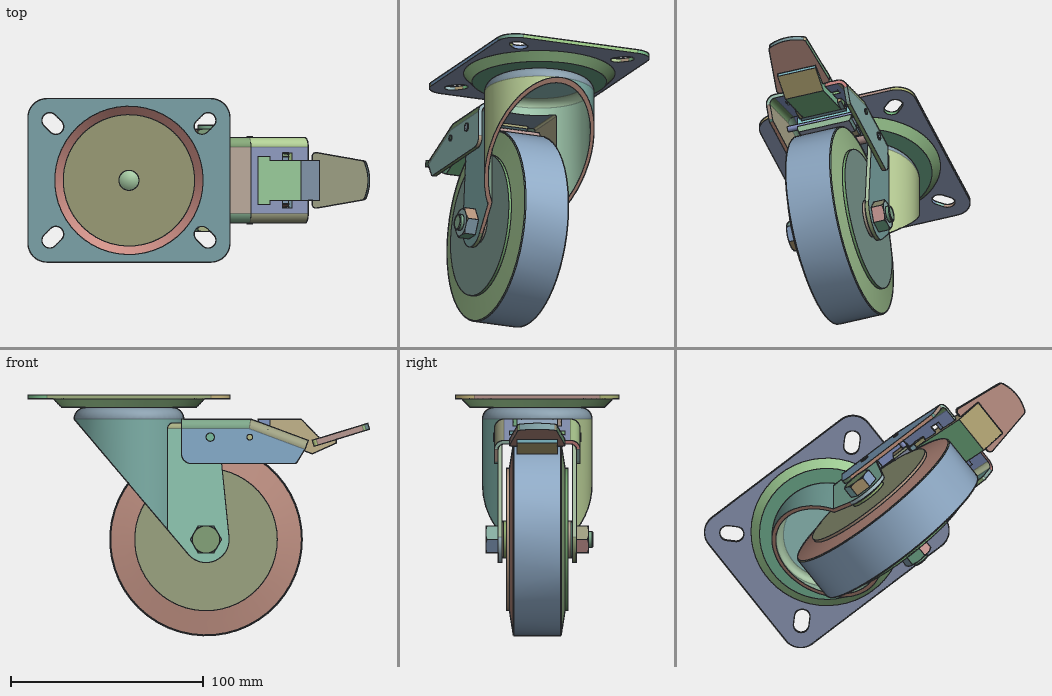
import cadquery as cq
import math


sheet = 2.0
total_height = 125.0

plate_length = 105.0
plate_width = 85.0
plate_corner_radius = 10.0
slot_centre_x = 39.5
slot_centre_y = 29.5
slot_width = 8.0
slot_length = 12.5
slot_angle = 45.0
dish_depth = 4.5
dish_rim_radius = 38.5
dish_floor_radius = 34.1
dome_radius = 5.2
dome_height = 2.0

wheel_radius = 50.0
axle_x = 40.0
axle_z = wheel_radius
hub_radius = 37.0
hub_half_width = 16.0
tyre_side_half_width = 14.5
tyre_edge_half_width = 12.5
tyre_edge_chamfer = 0.5

cup_radius = 28.5
cup_fillet = 6.0
cheek_half_width = 20.25
cheek_boss_radius = 12.0
cheek_top_x = 46.0
fork_bend_radius = 3.0

hex_across_flats = 14.0
hex_height = 6.4
hex_chamfer_radius = 7.1
hex_chamfer_degrees = 30.0
bolt_radius = 4.2
bolt_tip_length = 2.2
bolt_tip_chamfer = 0.5
washer_radius = 9.7
washer_chamfer = 0.8

cover_front_x = 27.3
cover_bend_x = 63.3
cover_slope_degrees = 20.4
cover_slope_length = 31.8
cover_bottom_z = 89.4
cover_bottom_rear_x = 86.8
cover_rear_corner_radius = 1.5
cover_slot_start_x = 79.7
cover_slot_end_x = 84.6
cover_slot_half_width = 14.3

pin_z = 103.1
pivot_pin_x = 42.2
pivot_pin_radius = 2.15
rear_pin_x = 62.7
rear_pin_radius = 1.5
pin_head_height = 0.5

lever_half_width = 10.4
lever_front_x = 67.1
lever_ear_end_x = 73.1
lever_ear_half_width = 12.5
lever_bottom_z = 104.5
lever_top_end_x = 89.4
lever_slope_end_x = 99.2
lever_slope_end_z = 102.4
lever_lip_x = 107.6
lever_lip_top_z = 101.8
lever_lip_bottom_z = 100.0
lever_heel_x = 95.2
lever_heel_z = 94.4
arm_half_width = 12.35
arm_bottom_z = 105.5
arm_nose_z = 106.6
arm_nose_bevel_length = 1.5
arm_top_z = 108.0
pad_start_x = 55.0
pad_end_x = 64.0
pad_bottom_z = 98.4
pad_half_width = 14.8
pad_chamfer_width = 1.0
pad_chamfer_height = 1.9

pedal_tip_x = 125.0
pedal_start_x = 95.1
pedal_start_z = 101.5
pedal_tilt_degrees = 17.0
pedal_thickness = 3.3
pedal_root_half_width = 14.7
pedal_tip_half_width = 10.0
pedal_tip_bulge = 2.3
pedal_corner_radius = 1.8

dish_bottom_z = total_height - dish_depth - sheet
cup_edge_z = dish_bottom_z - cup_fillet
cover_top_z = cup_edge_z
cover_half_width = cheek_half_width + sheet
fork_roof_z = cover_top_z - sheet
cheek_inner = cheek_half_width - sheet
cover_bend_radius = fork_bend_radius + sheet


def prism(points, half_width):
    """Extrude an XZ outline symmetrically about Y = 0."""
    return cq.Workplane("XZ").polyline(points).close().extrude(half_width, both=True)


def block(x_start, x_end, half_width, z_bottom, z_top):
    """Box between two X and two Z positions, centred on Y = 0."""
    return (
        cq.Workplane("XY", origin=((x_start + x_end) / 2, 0, z_bottom))
        .rect(x_end - x_start, 2 * half_width)
        .extrude(z_top - z_bottom)
    )


def cross_rod(x, z, radius, y_start, y_end):
    """Round rod parallel to Y."""
    return cq.Workplane("XZ", origin=(x, y_start, z)).circle(radius).extrude(y_start - y_end)


def tangent_point(x, z, side):
    """Point where a line from (x, z) touches the cheek boss; side +1 or -1 picks which one."""
    dx = x - axle_x
    dz = z - axle_z
    angle = math.atan2(dz, dx) + side * math.acos(cheek_boss_radius / math.hypot(dx, dz))
    return (axle_x + cheek_boss_radius * math.cos(angle), axle_z + cheek_boss_radius * math.sin(angle))


def make_plate():
    plate = (
        cq.Workplane("XY", origin=(0, 0, total_height - sheet))
        .rect(plate_length, plate_width)
        .extrude(sheet)
        .edges("|Z")
        .fillet(plate_corner_radius)
    )
    wall_slope = math.atan2(dish_depth, dish_rim_radius - dish_floor_radius)
    wall_offset = sheet * math.tan(wall_slope / 2)
    plate_bottom_z = total_height - sheet
    dish_floor_z = total_height - dish_depth
    dish_body = (
        cq.Workplane("XZ")
        .moveTo(0, plate_bottom_z)
        .lineTo(dish_rim_radius + wall_offset, plate_bottom_z)
        .lineTo(dish_floor_radius + wall_offset, dish_bottom_z)
        .lineTo(0, dish_bottom_z)
        .close()
        .revolve(360, (0, 0, 0), (0, 1, 0))
    )
    dish_recess = (
        cq.Workplane("XZ")
        .moveTo(0, total_height)
        .lineTo(dish_rim_radius, total_height)
        .lineTo(dish_floor_radius, dish_floor_z)
        .lineTo(0, dish_floor_z)
        .close()
        .revolve(360, (0, 0, 0), (0, 1, 0))
    )
    plate = plate.union(dish_body).cut(dish_recess)

    for x_side in (-1, 1):
        for y_side in (-1, 1):
            slot = (
                cq.Workplane("XY", origin=(x_side * slot_centre_x, y_side * slot_centre_y, plate_bottom_z))
                .slot2D(slot_length, slot_width, slot_angle * x_side * y_side)
                .extrude(sheet)
            )
            plate = plate.cut(slot)

    sphere_radius = (dome_radius ** 2 + dome_height ** 2) / (2 * dome_height)
    half_angle = math.asin(dome_radius / sphere_radius) / 2
    dome_top_z = dish_floor_z + dome_height
    arc_middle = (
        sphere_radius * math.sin(half_angle),
        dome_top_z - sphere_radius * (1 - math.cos(half_angle)),
    )
    dome = (
        cq.Workplane("XZ")
        .moveTo(0, dish_floor_z)
        .lineTo(dome_radius, dish_floor_z)
        .threePointArc(arc_middle, (0, dome_top_z))
        .close()
        .revolve(360, (0, 0, 0), (0, 1, 0))
    )
    return plate.union(dome)


def fork_volume(inset):
    """Cup and cheek channel, moved inward by the given amount."""
    top_z = dish_bottom_z - inset
    cup = (
        cq.Workplane("XY")
        .circle(cup_radius - inset)
        .extrude(top_z)
        .faces(">Z")
        .edges()
        .fillet(cup_fillet - inset)
    )
    channel = (
        block(0, axle_x + cheek_boss_radius, cheek_half_width - inset, 0, fork_roof_z - inset)
        .edges("|X and >Z")
        .fillet(fork_bend_radius - inset)
    )
    return cup.union(channel)


def make_fork():
    shell = fork_volume(0).cut(fork_volume(sheet))
    front_corner = (-cup_radius, cup_edge_z)
    side_outline = (
        cq.Workplane("XZ")
        .moveTo(*front_corner)
        .lineTo(*tangent_point(*front_corner, 1))
        .threePointArc(
            (axle_x, axle_z - cheek_boss_radius),
            tangent_point(cheek_top_x, fork_roof_z, -1),
        )
        .lineTo(cheek_top_x, fork_roof_z)
        .lineTo(cheek_top_x, dish_bottom_z)
        .lineTo(-cup_radius, dish_bottom_z)
        .close()
        .extrude(cup_radius, both=True)
    )
    return shell.intersect(side_outline)


def make_wheel():
    chamfer_radius = wheel_radius - tyre_edge_chamfer
    half_profile = [
        (hub_radius, hub_half_width),
        (hub_radius, tyre_side_half_width),
        (chamfer_radius, tyre_edge_half_width),
        (wheel_radius, tyre_edge_half_width - tyre_edge_chamfer),
    ]
    mirrored = [(radius, -y) for radius, y in reversed(half_profile)]
    profile = [(0, hub_half_width)] + half_profile + mirrored + [(0, -hub_half_width)]
    return (
        cq.Workplane("XY")
        .polyline(profile)
        .close()
        .revolve(360, (0, 0, 0), (0, 1, 0))
        .translate((axle_x, 0, axle_z))
    )


def make_axle():
    head_y = cheek_half_width + hex_height
    hex_corner_diameter = hex_across_flats / math.cos(math.pi / 6)
    hexes = (
        cq.Workplane("XZ", origin=(axle_x, 0, axle_z))
        .polygon(6, hex_corner_diameter)
        .extrude(head_y, both=True)
    )
    corner_radius = hex_corner_diameter / 2
    chamfer_width = corner_radius - hex_chamfer_radius
    chamfer_height = chamfer_width * math.tan(math.radians(hex_chamfer_degrees))
    turned_envelope = (
        cq.Workplane("XZ", origin=(axle_x, 0, axle_z))
        .circle(corner_radius)
        .extrude(head_y, both=True)
        .edges()
        .chamfer(chamfer_height, chamfer_width)
    )
    hexes = hexes.intersect(turned_envelope).cut(block(0, 2 * axle_x, cheek_half_width, 0, 2 * axle_z))

    bolt_tip_y = head_y + bolt_tip_length
    bolt = cross_rod(axle_x, axle_z, bolt_radius, -head_y, bolt_tip_y)
    bolt = bolt.faces(">Y").edges().chamfer(bolt_tip_chamfer)

    washers = (
        cross_rod(axle_x, axle_z, washer_radius, -cheek_inner, cheek_inner)
        .edges()
        .chamfer(washer_chamfer)
    )
    return hexes.union(bolt).union(washers)


def cover_volume(inset):
    """Bent cover hood, moved inward by the given amount at its top and sides."""
    slope = math.radians(cover_slope_degrees)
    half_width = cover_half_width - inset
    top_z = cover_top_z - inset
    bend_x = cover_bend_x - inset * math.tan(slope / 2)
    reach = cover_slope_length + inset * math.tan(slope / 2)
    extra = 2 * inset
    rear_top = (
        bend_x + (reach + extra) * math.cos(slope),
        top_z - (reach + extra) * math.sin(slope),
    )
    outline = [
        (cover_front_x - extra, top_z),
        (bend_x, top_z),
        rear_top,
        (rear_top[0], cover_bottom_z - extra),
        (cover_front_x - extra, cover_bottom_z - extra),
    ]
    volume = prism(outline, half_width)
    for side in (-1, 1):
        flat_edge_middle = ((cover_front_x + bend_x) / 2, side * half_width, top_z)
        slope_edge_middle = ((bend_x + rear_top[0]) / 2, side * half_width, (top_z + rear_top[1]) / 2)
        volume = (
            volume.edges(cq.selectors.NearestToPointSelector(flat_edge_middle))
            .add(volume.edges(cq.selectors.NearestToPointSelector(slope_edge_middle)))
            .fillet(cover_bend_radius - inset)
        )
    return volume


def make_cover():
    slope = math.radians(cover_slope_degrees)
    rear_top_x = cover_bend_x + cover_slope_length * math.cos(slope)
    rear_top_z = cover_top_z - cover_slope_length * math.sin(slope)
    side_outline = [
        (cover_front_x, cover_top_z),
        (cover_bend_x, cover_top_z),
        (rear_top_x, rear_top_z),
        (
            rear_top_x - cover_bend_radius * math.sin(slope),
            rear_top_z - cover_bend_radius * math.cos(slope),
        ),
        (cover_bottom_rear_x, cover_bottom_z),
        (cover_front_x, cover_bottom_z),
    ]
    side_shape = prism(side_outline, cover_half_width)
    side_shape = side_shape.edges("|Y and <Z and <X").fillet(cover_bend_radius)
    side_shape = side_shape.faces("<Z").edges("|Y and >X").fillet(cover_rear_corner_radius)
    cover = cover_volume(0).cut(cover_volume(sheet)).intersect(side_shape)

    slots = block(cover_slot_start_x, cover_slot_end_x, cover_slot_half_width, pin_z, cover_top_z)
    return cover.cut(slots)


def make_pins():
    pin_end = cover_half_width + pin_head_height
    pivot_pin = cross_rod(pivot_pin_x, pin_z, pivot_pin_radius, -pin_end, pin_end)
    rear_pin = cross_rod(rear_pin_x, pin_z, rear_pin_radius, -pin_end, pin_end)
    return pivot_pin.union(rear_pin)


def make_brake_lever():
    lever = prism(
        [
            (lever_front_x, cover_top_z),
            (lever_top_end_x, cover_top_z),
            (lever_slope_end_x, lever_slope_end_z),
            (lever_lip_x, lever_lip_top_z),
            (lever_lip_x, lever_lip_bottom_z),
            (lever_heel_x, lever_heel_z),
            (lever_front_x, lever_bottom_z),
        ],
        lever_half_width,
    )
    ears = block(lever_front_x, lever_ear_end_x, lever_ear_half_width, lever_bottom_z, cover_top_z)
    arm = prism(
        [
            (pivot_pin_x, arm_top_z),
            (pivot_pin_x, arm_nose_z),
            (pivot_pin_x + arm_nose_bevel_length, arm_bottom_z),
            (lever_ear_end_x, arm_bottom_z),
            (lever_ear_end_x, arm_top_z),
        ],
        arm_half_width,
    )
    pad = (
        block(pad_start_x, pad_end_x, pad_half_width, pad_bottom_z, arm_top_z)
        .edges("|X and <Z")
        .chamfer(pad_chamfer_height, pad_chamfer_width)
    )
    return lever.union(ears).union(arm).union(pad)


def make_pedal():
    tilt = math.radians(pedal_tilt_degrees)
    tip_x = pedal_tip_x - pedal_thickness * math.sin(tilt)
    length = (tip_x - pedal_start_x) / math.cos(tilt)
    shoulder = length - pedal_tip_bulge
    tilted_plane = cq.Plane(
        origin=(pedal_start_x, 0, pedal_start_z),
        xDir=(math.cos(tilt), 0, math.sin(tilt)),
        normal=(-math.sin(tilt), 0, math.cos(tilt)),
    )
    return (
        cq.Workplane(tilted_plane)
        .moveTo(0, -pedal_root_half_width)
        .lineTo(shoulder, -pedal_tip_half_width)
        .threePointArc((length, 0), (shoulder, pedal_tip_half_width))
        .lineTo(0, pedal_root_half_width)
        .close()
        .extrude(-pedal_thickness)
        .edges(cq.selectors.ParallelDirSelector(tilted_plane.zDir))
        .fillet(pedal_corner_radius)
    )


result = (
    make_plate()
    .union(make_fork())
    .union(make_wheel())
    .union(make_axle())
    .union(make_cover())
    .union(make_pins())
    .union(make_brake_lever())
    .union(make_pedal())
)